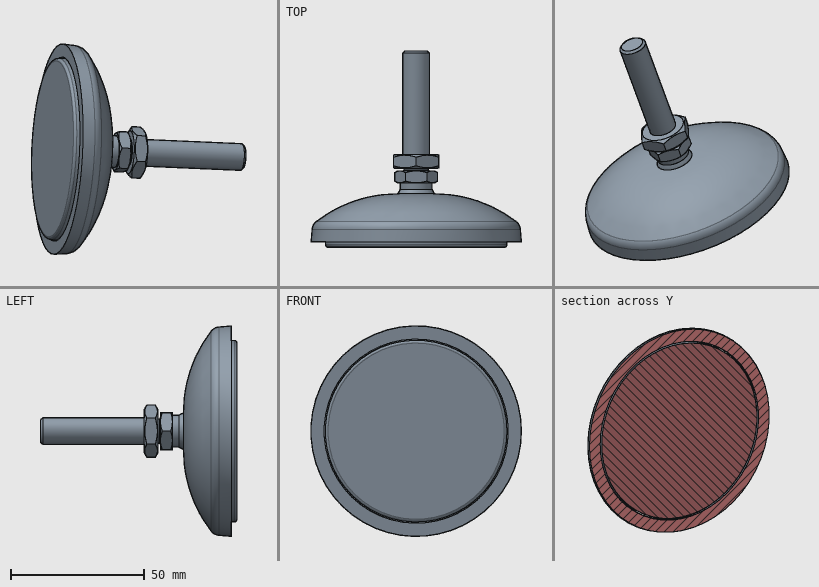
import cadquery as cq
import math


rim_bottom_y = 2.1
rim_top_y = 6.8
dome_edge_y = 9.7
dome_top_y = 20.15
spindle_hex_y = 24.25
nut_y = 29.6
spindle_end_y = 73.7

rim_radius = 39.5
rim_top_radius = 39.1
dome_edge_radius = 37.5
dome_flat_radius = 6.9
recess_depth = 3.0
recess_radius = 34.5

pad_gap = 0.5
pad_radius = recess_radius - pad_gap
pad_fillet = 1.0
pad_top_y = rim_bottom_y + recess_depth

ball_radius = 7.3
ball_center_y = 17.7
collar_radius = 6.0
spindle_hex_flats = 14.0
spindle_hex_height = 4.4
neck_radius = 4.6
neck_flare = 0.4
thread_radius = 5.05
thread_chamfer = 0.9

nut_flats = 17.0
nut_height = 5.2
nut_face_radius = 8.05

hex_chamfer_angle = 30.0


def revolve_about_y(profile):
    """Turn a closed half profile, drawn in XY, around the Y axis."""
    return profile.close().revolve(360, (0, 0), (0, 1))


def disc(radius, start_y, end_y):
    return revolve_about_y(
        cq.Workplane("XY").moveTo(0, start_y).lineTo(radius, start_y).lineTo(radius, end_y).lineTo(0, end_y)
    )


def chamfered_hex(flats, start_y, height, face_radius, corner_angle):
    """Hexagonal prism along Y with conically chamfered corners; a corner lies at corner_angle from X."""
    corner_radius = flats / math.sqrt(3)
    cone_height = (corner_radius - face_radius) * math.tan(math.radians(hex_chamfer_angle))
    end_y = start_y + height
    prism = (
        cq.Workplane("XZ", origin=(0, start_y, 0))
        .polygon(6, 2 * corner_radius)
        .extrude(-height)
        .rotate((0, 0, 0), (0, 1, 0), corner_angle)
    )
    envelope = revolve_about_y(
        cq.Workplane("XY")
        .moveTo(0, start_y)
        .lineTo(face_radius, start_y)
        .lineTo(corner_radius, start_y + cone_height)
        .lineTo(corner_radius, end_y - cone_height)
        .lineTo(face_radius, end_y)
        .lineTo(0, end_y)
    )
    return prism.intersect(envelope)


def make_ball():
    return cq.Workplane("XY").sphere(ball_radius).translate((0, ball_center_y, 0))


def make_base_plate():
    """Domed plate with a drafted rim, a ball socket on top and a pad recess below."""
    arc_span = dome_edge_radius - dome_flat_radius
    arc_drop = dome_top_y - dome_edge_y
    arc_radius = (arc_span**2 + arc_drop**2) / (2 * arc_drop)
    half_angle = math.asin(arc_span / arc_radius) / 2
    arc_mid = (
        dome_flat_radius + arc_radius * math.sin(half_angle),
        dome_top_y - arc_radius * (1 - math.cos(half_angle)),
    )
    plate = revolve_about_y(
        cq.Workplane("XY")
        .moveTo(0, rim_bottom_y)
        .lineTo(rim_radius, rim_bottom_y)
        .lineTo(rim_top_radius, rim_top_y)
        .tangentArcPoint((dome_edge_radius, dome_edge_y), relative=False)
        .threePointArc(arc_mid, (dome_flat_radius, dome_top_y))
        .lineTo(0, dome_top_y)
    )
    recess = disc(recess_radius, rim_bottom_y, pad_top_y)
    return plate.cut(recess).cut(make_ball())


def make_pad():
    """Round pad seated in the plate recess, with a rounded floor edge."""
    return disc(pad_radius, 0, pad_top_y).faces("<Y").edges().fillet(pad_fillet)


def make_spindle():
    """Ball, collar, wrench hexagon, flared neck and threaded shank in one piece."""
    hex_top_y = spindle_hex_y + spindle_hex_height
    flats_radius = spindle_hex_flats / 2
    collar = disc(collar_radius, ball_center_y, spindle_hex_y)
    wrench_hex = chamfered_hex(spindle_hex_flats, spindle_hex_y, spindle_hex_height, flats_radius, 0)
    neck = revolve_about_y(
        cq.Workplane("XY")
        .moveTo(0, hex_top_y)
        .lineTo(neck_radius + neck_flare, hex_top_y)
        .lineTo(neck_radius, hex_top_y + neck_flare)
        .lineTo(neck_radius, nut_y)
        .lineTo(0, nut_y)
    )
    shank = disc(thread_radius, nut_y, spindle_end_y).faces(">Y").edges().chamfer(thread_chamfer)
    return make_ball().union(collar).union(wrench_hex).union(neck).union(shank)


def make_nut():
    """Lock nut on the shank, with corners turned to the Z axis."""
    blank = chamfered_hex(nut_flats, nut_y, nut_height, nut_face_radius, 90)
    return blank.cut(disc(thread_radius, nut_y, nut_y + nut_height))


base_plate = make_base_plate()
pad = make_pad()
spindle = make_spindle()
nut = make_nut()

result = cq.Compound.makeCompound([
    body.solids().val() for body in (base_plate, pad, spindle, nut)
])